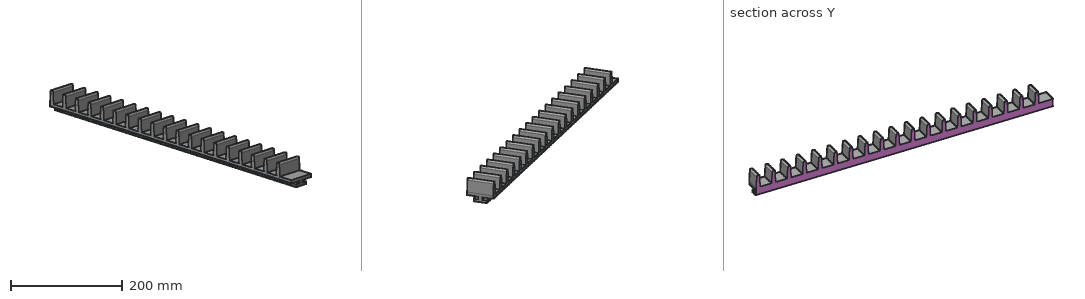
import cadquery as cq

length = 609.6
width = 50.8
total_height = 41.91
plate_thickness = 6.35

flange_width = 25.4
flange_thickness = 5.08
stem_width = 7.62
rail_height = 10.16

fin_count = 19
fin_pitch = 31.75
fin_base_width = 9.525
fin_tip_width = 6.5
fin_tip_fillet = 3.175

plate_bottom = rail_height
plate_top = plate_bottom + plate_thickness
fin_height = total_height - plate_top


def make_plate():
    """Rectangular plate with one end at X = 0, centred on Y = 0."""
    plate = cq.Workplane("XY").workplane(offset=plate_bottom)
    return plate.rect(length, width).extrude(plate_thickness).translate((length / 2, 0, 0))


def make_rail():
    """T rail along the whole plate."""
    flange = cq.Workplane("YZ").rect(flange_width, flange_thickness).extrude(length)
    flange = flange.translate((0, 0, flange_thickness / 2))
    stem = cq.Workplane("YZ").rect(stem_width, rail_height).extrude(length)
    stem = stem.translate((0, 0, rail_height / 2))
    return flange.union(stem)


def make_fin(base_start):
    """Symmetric tapered fin with rounded edges along its tip."""
    base_half = fin_base_width / 2
    tip_half = fin_tip_width / 2
    fin = (
        cq.Workplane("XZ")
        .polyline([(-base_half, 0), (-tip_half, fin_height), (tip_half, fin_height), (base_half, 0)])
        .close()
        .extrude(width / 2, both=True)
        .faces(">Z")
        .edges("|Y")
        .fillet(fin_tip_fillet)
    )
    return fin.translate((base_start + base_half, 0, plate_top))


result = make_plate().union(make_rail())
for index in range(fin_count):
    result = result.union(make_fin(index * fin_pitch))